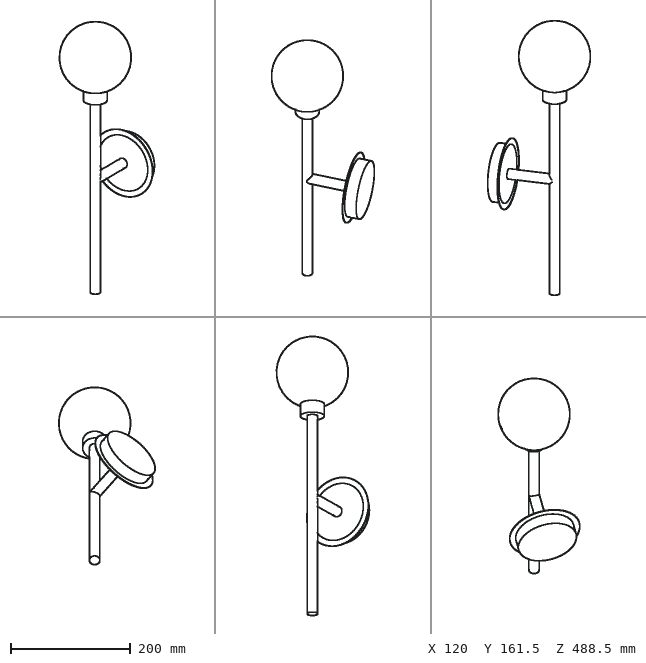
import cadquery as cq

total_height = 488.5
disc_radius = 60.0
collar_radius = 20.0
collar_height = 21.0
tube_radius = 9.0
globe_flat_drop = 56.5
arm_height = 206.0
stem_to_plate = 80.5
plate_thickness = 1.0
canopy_radius = 50.0
total_depth = 161.5

globe_center_z = total_height - disc_radius
collar_top_z = globe_center_z - globe_flat_drop
collar_bottom_z = collar_top_z - collar_height
canopy_front_y = stem_to_plate + plate_thickness
canopy_back_y = total_depth - disc_radius


def upright_cylinder(radius, bottom_z, top_z):
    return cq.Workplane("XY", origin=(0, 0, bottom_z)).circle(radius).extrude(top_z - bottom_z)


def wall_cylinder(radius, front_y, back_y):
    """Cylinder along Y, centred on the arm axis."""
    plane = cq.Workplane("XZ", origin=(0, front_y, arm_height))
    return plane.circle(radius).extrude(front_y - back_y)


def make_globe():
    """Sphere cut flat underneath, where it rests on the collar."""
    sphere = cq.Workplane("XY", origin=(0, 0, globe_center_z)).sphere(disc_radius)
    return sphere.intersect(upright_cylinder(2 * disc_radius, collar_top_z, total_height))


def make_collar():
    return upright_cylinder(collar_radius, collar_bottom_z, collar_top_z)


def make_stand():
    """Vertical stem with the equal-diameter arm joined to it as a tee."""
    stem = upright_cylinder(tube_radius, 0, collar_bottom_z)
    arm = wall_cylinder(tube_radius, 0, stem_to_plate)
    return stem.union(arm)


def make_cover_plate():
    return wall_cylinder(disc_radius, stem_to_plate, canopy_front_y)


def make_canopy():
    return wall_cylinder(canopy_radius, canopy_front_y, canopy_back_y)


globe = make_globe()
collar = make_collar()
stand = make_stand()
cover_plate = make_cover_plate()
canopy = make_canopy()

result = cq.Compound.makeCompound([
    globe.val(),
    collar.val(),
    stand.val(),
    cover_plate.val(),
    canopy.val(),
])